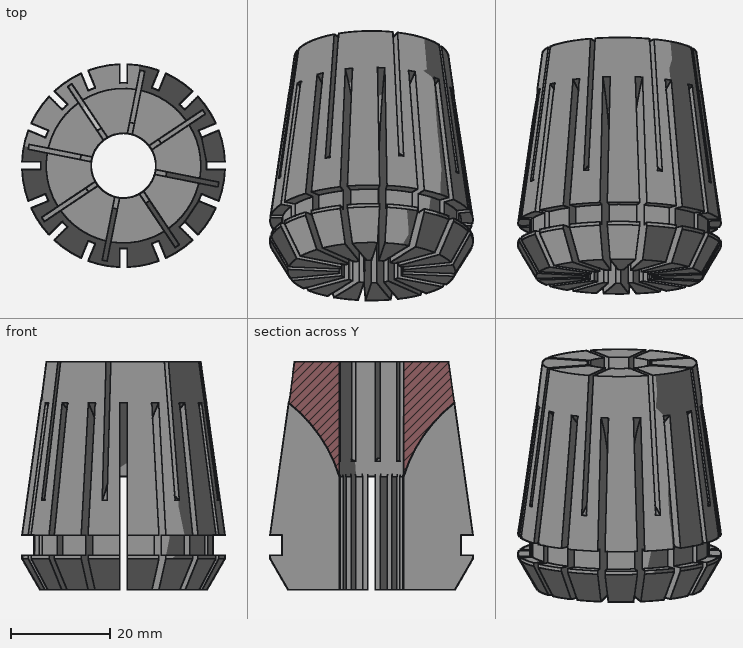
import cadquery as cq
import math

height = 46.0
max_radius = 20.5
bore_radius = 6.5
taper_angle = 8.0
nose_angle = 30.0
rim_bottom = 6.3
groove_bottom = 7.0
groove_top = 11.0
groove_radius = 18.1

saw_radius = 30.0
nose_slot_count = 16
nose_slot_width = 1.5
nose_slot_outer_z = 37.7
nose_slot_inner_z = 22.8
top_slot_count = 8
top_slot_width = 1.0
top_slot_offset = 360 / nose_slot_count / 2
top_slot_outer_z = 18.0
top_slot_saw_center_r = 32.3
top_slot_crest_r = 8.8
clearance = 2.0


def taper_radius(z):
    """Radius of the clamping cone at height z."""
    return max_radius - (z - groove_top) * math.tan(math.radians(taper_angle))


def circle_drop(offset):
    """Distance from the saw centre down to its rim at a sideways offset."""
    return math.sqrt(saw_radius**2 - offset**2)


def arc_midpoint(start, end):
    """Middle of the saw arc between two points, bulging to the left of start -> end."""
    dx = end[0] - start[0]
    dz = end[1] - start[1]
    chord = math.hypot(dx, dz)
    bulge = saw_radius - circle_drop(chord / 2)
    mid_x = (start[0] + end[0]) / 2
    mid_z = (start[1] + end[1]) / 2
    return (mid_x - dz / chord * bulge, mid_z + dx / chord * bulge)


def make_body():
    """Revolved double cone with the nut groove and the through bore."""
    nose_radius = max_radius - rim_bottom * math.tan(math.radians(nose_angle))
    outline = [
        (bore_radius, 0),
        (nose_radius, 0),
        (max_radius, rim_bottom),
        (max_radius, groove_bottom),
        (groove_radius, groove_bottom),
        (groove_radius, groove_top),
        (max_radius, groove_top),
        (taper_radius(height), height),
        (bore_radius, height),
    ]
    return cq.Workplane("XZ").polyline(outline).close().revolve(360, (0, 0), (0, 1))


def make_nose_slot():
    """Slot open at the nose, its ceiling a saw arc rising from the bore to the taper."""
    reach = max_radius + clearance
    inner = (bore_radius, nose_slot_inner_z)
    outer = (taper_radius(nose_slot_outer_z), nose_slot_outer_z)
    return (
        cq.Workplane("XZ")
        .moveTo(0, -clearance)
        .lineTo(0, nose_slot_inner_z)
        .lineTo(*inner)
        .threePointArc(arc_midpoint(inner, outer), outer)
        .lineTo(reach, nose_slot_outer_z)
        .lineTo(reach, -clearance)
        .close()
        .extrude(nose_slot_width / 2, both=True)
    )


def make_top_slot():
    """Slot open at the tapered end, its floor two saw arcs that meet in a crest."""
    reach = max_radius + clearance
    outer = (taper_radius(top_slot_outer_z), top_slot_outer_z)
    radial_saw_z = top_slot_outer_z + circle_drop(top_slot_saw_center_r - outer[0])
    crest_z = radial_saw_z - circle_drop(top_slot_saw_center_r - top_slot_crest_r)
    crest = (top_slot_crest_r, crest_z)
    axial_saw_z = crest_z + circle_drop(top_slot_crest_r)
    half_crest_r = top_slot_crest_r / 2
    return (
        cq.Workplane("XZ")
        .moveTo(0, height + clearance)
        .lineTo(0, axial_saw_z - saw_radius)
        .threePointArc((half_crest_r, axial_saw_z - circle_drop(half_crest_r)), crest)
        .threePointArc(arc_midpoint(outer, crest), outer)
        .lineTo(reach, top_slot_outer_z)
        .lineTo(reach, height + clearance)
        .close()
        .extrude(top_slot_width / 2, both=True)
    )


def cut_around(body, cutter, count, first_angle):
    """Cut copies of a radial cutter, evenly spaced about the axis."""
    for index in range(count):
        angle = first_angle + index * 360 / count
        body = body.cut(cutter.rotate((0, 0, 0), (0, 0, 1), angle))
    return body


result = make_body()
result = cut_around(result, make_nose_slot(), nose_slot_count, 0)
result = cut_around(result, make_top_slot(), top_slot_count, -top_slot_offset)